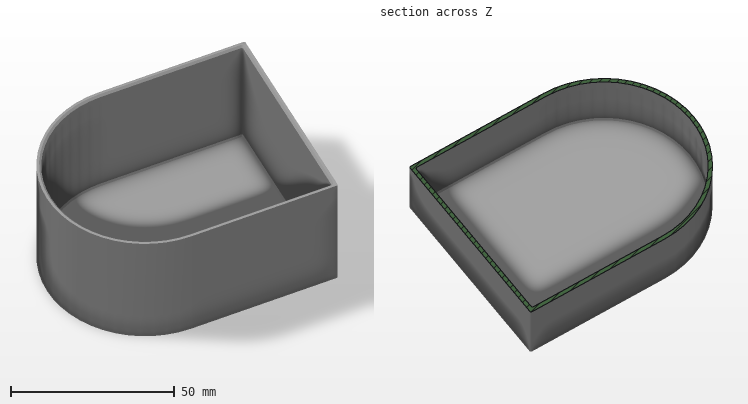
import cadquery as cq

length = 82.9
width = 66.5
height = 41.5
wall = 1.5
floor = wall
rim_bevel = 0.7
floor_bevel = 0.54
corner_radius = 0.55

outer_radius = width / 2
back_y = length - outer_radius


def d_prism(inset, base_z, prism_height):
    """D-shaped prism, set in from the outer outline, with softened back corners."""
    radius = outer_radius - inset
    back = back_y - inset
    return (
        cq.Workplane("XY", origin=(0, 0, base_z))
        .moveTo(-radius, back)
        .lineTo(-radius, 0)
        .threePointArc((0, -radius), (radius, 0))
        .lineTo(radius, back)
        .close()
        .extrude(prism_height)
        .edges("|Z and >Y")
        .fillet(corner_radius)
    )


body = d_prism(0, 0, height)

cavity = d_prism(wall, floor, height - floor).faces("<Z").chamfer(floor_bevel)

tray = body.cut(cavity)

rim_inner_edges = tray.faces(">Z").wires().vals()[-1].Edges()
result = tray.newObject(rim_inner_edges).chamfer(rim_bevel)